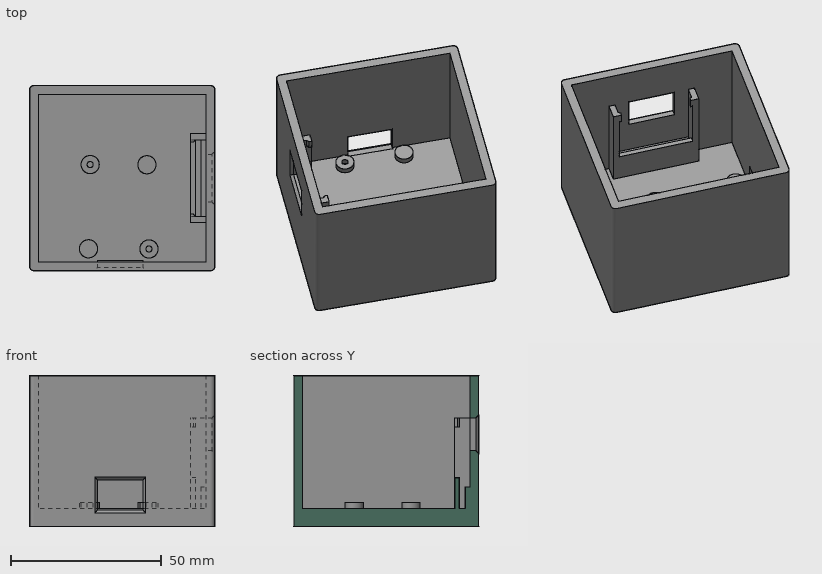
import cadquery as cq

side = 61.5
height = 50.0
wall = 3.0
floor = 6.0
corner_radius = 1.55
inner_half = side / 2 - wall

supports = [
    (-10.65, 4.5, True),
    (8.2, 4.4, False),
    (-11.2, -23.45, False),
    (8.85, -23.5, True),
]
support_diameter = 6.0
support_height = 1.95
hole_diameter = 2.0

flare_depth = 1.05
window_overcut = 0.5
front_window_flare = 0.85
front_window_width = 15.1
front_window_height = 10.1
front_window_x = -0.7
front_window_z = 10.45
side_window_flare = 1.1
side_window_width = 15.75
side_window_height = 10.7
side_window_z = 30.55

holder_width = 29.5
holder_top = 36.0
holder_face_x = 22.65
arm_thickness = 2.1
slot_width = holder_width - 2 * arm_thickness
front_ledge_z = 16.2
front_ledge_back_x = 24.25
rear_ledge_z = 13.15
rear_ledge_front_x = 26.15
lip_height = 3.0
lip_overhang = 0.75
lip_flat_depth = 0.9


def block(x_range, y_range, z_range):
    """Axis-aligned block between pairs of limits."""
    (x0, x1), (y0, y1), (z0, z1) = x_range, y_range, z_range
    return cq.Workplane("XY").box(x1 - x0, y1 - y0, z1 - z0, centered=False).translate((x0, y0, z0))


def flared_window(width, opening_height, flare):
    """Cutter for the -Y wall, centred on X and Z, widening at the outer face."""
    straight = cq.Workplane("XZ", origin=(0, -inner_half + window_overcut, 0)).rect(width, opening_height)
    straight = straight.extrude(wall + window_overcut)
    flared = (
        cq.Workplane("XZ", origin=(0, -side / 2 + flare_depth, 0))
        .rect(width, opening_height)
        .workplane(offset=flare_depth)
        .rect(width + 2 * flare, opening_height + 2 * flare)
        .loft(ruled=True)
    )
    return straight.union(flared)


def make_shell():
    outer = cq.Workplane("XY").box(side, side, height, centered=(True, True, False))
    outer = outer.edges("|Z").fillet(corner_radius)
    inner_limits = (-inner_half, inner_half)
    return outer.cut(block(inner_limits, inner_limits, (floor, height)))


def make_support(x, y, has_hole):
    support = cq.Workplane("XY", origin=(x, y, floor)).circle(support_diameter / 2).extrude(support_height)
    if has_hole:
        support = support.faces(">Z").workplane().hole(hole_diameter, support_height)
    return support


def make_lip():
    """Retaining lip on the +Y arm, tapering back to the arm behind its flat tip."""
    slot_edge = slot_width / 2
    tip = slot_edge - lip_overhang
    lip_back_x = holder_face_x + lip_flat_depth
    outline = [
        (holder_face_x, slot_edge),
        (holder_face_x, tip),
        (lip_back_x, tip),
        (front_ledge_back_x, slot_edge),
    ]
    lip_plane = cq.Workplane("XY", origin=(0, 0, holder_top - lip_height))
    return lip_plane.polyline(outline).close().extrude(lip_height)


def make_holder():
    half_width = holder_width / 2
    half_slot = slot_width / 2
    slot_limits = (-half_slot, half_slot)
    holder = block((holder_face_x, inner_half), (-half_width, half_width), (floor, holder_top))
    slot_steps = [
        (holder_face_x, front_ledge_back_x, front_ledge_z),
        (front_ledge_back_x, rear_ledge_front_x, floor),
        (rear_ledge_front_x, inner_half, rear_ledge_z),
    ]
    for x_start, x_end, step_z in slot_steps:
        holder = holder.cut(block((x_start, x_end), slot_limits, (step_z, holder_top)))
    lip = make_lip()
    return holder.union(lip).union(lip.mirror("XZ"))


result = make_shell()
for x, y, has_hole in supports:
    result = result.union(make_support(x, y, has_hole))
result = result.union(make_holder())

front_window = flared_window(front_window_width, front_window_height, front_window_flare)
result = result.cut(front_window.translate((front_window_x, 0, front_window_z)))

side_window = flared_window(side_window_width, side_window_height, side_window_flare)
side_window = side_window.rotate((0, 0, 0), (0, 0, 1), 90)
result = result.cut(side_window.translate((0, 0, side_window_z)))